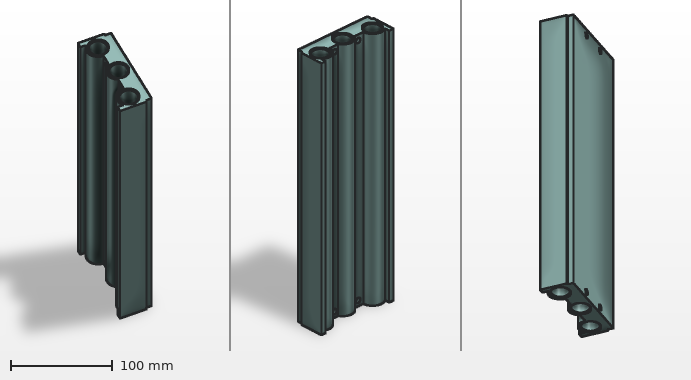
import cadquery as cq

length = 308.0
width = 98.0
depth = 35.0

back_inset = 2.0
shoulder_start = 6.0
shoulder_end = 6.8
leg_thickness = 6.0

tube_pitch = 35.5
tube_diameter = 25.0
side_axis_depth = 19.5
middle_axis_depth = 14.0
body_depth = side_axis_depth

bore_radius = 9.2
countersink = 1.2

hole_diameter = 6.0
hole_spacing = 32.0
hole_end_distance = 6.8

back_y = depth / 2
front_y = -depth / 2
half_width = width / 2
tube_axes = [
    (-tube_pitch, back_y - side_axis_depth),
    (0, back_y - middle_axis_depth),
    (tube_pitch, back_y - side_axis_depth),
]


def make_body():
    """Extrude the body with its two legs, narrowed toward the back face."""
    body_front_y = back_y - body_depth
    right_half = [
        (half_width - back_inset, back_y),
        (half_width - back_inset, back_y - shoulder_start),
        (half_width, back_y - shoulder_end),
        (half_width, front_y),
        (half_width - leg_thickness, front_y),
        (half_width - leg_thickness, body_front_y),
    ]
    left_half = [(-x, y) for x, y in reversed(right_half)]
    return cq.Workplane("XY").polyline(right_half + left_half).close().extrude(length)


def make_tubes():
    """Solid cylinders that stand proud of the front of the body."""
    return cq.Workplane("XY").pushPoints(tube_axes).circle(tube_diameter / 2).extrude(length)


def make_bore(x, y):
    """Cutter for one through bore, countersunk at both ends."""
    mouth_radius = bore_radius + countersink
    half_outline = [
        (0, 0),
        (mouth_radius, 0),
        (bore_radius, countersink),
        (bore_radius, length - countersink),
        (mouth_radius, length),
        (0, length),
    ]
    cutter = cq.Workplane("XZ").polyline(half_outline).close().revolve(360, (0, 0), (0, 1))
    return cutter.translate((x, y, 0))


def make_mounting_holes():
    """Cutters for the four holes that run along Y between the tubes."""
    row_spacing = length - 2 * hole_end_distance
    return (
        cq.Workplane("XZ", origin=(0, 0, length / 2))
        .rarray(hole_spacing, row_spacing, 2, 2)
        .circle(hole_diameter / 2)
        .extrude(depth, both=True)
    )


result = make_body().union(make_tubes()).cut(make_mounting_holes())
for axis_x, axis_y in tube_axes:
    result = result.cut(make_bore(axis_x, axis_y))